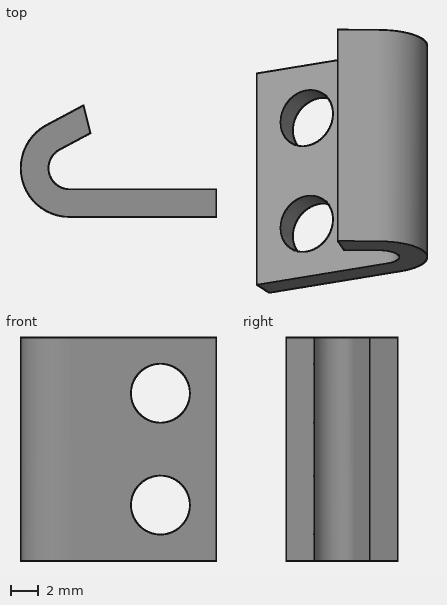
import cadquery as cq
import math

length = 14.0
depth = 8.0
height = 16.0
thickness = 2.0
inner_radius = 1.5
lip_tip_x = 4.5
tip_setback = 0.5

hole_diameter = 4.2
hole_x = 10.0
hole_pitch = 8.0

outer_radius = inner_radius + thickness
bend_center_x = outer_radius
bend_center_y = outer_radius

lip_angle = 2 * math.atan(tip_setback / thickness)
bend_end_angle = math.pi / 2 + lip_angle
bend_start_angle = 3 * math.pi / 2
bend_mid_angle = (bend_start_angle + bend_end_angle) / 2


def bend_point(radius, angle):
    """Point at a polar angle on a circle about the bend center."""
    return (
        bend_center_x + radius * math.cos(angle),
        bend_center_y + radius * math.sin(angle),
    )


def hook_body():
    """J-shaped sheet profile extruded along Z."""
    outer_tip = (lip_tip_x, depth)
    inner_tip = (lip_tip_x + tip_setback, depth - thickness)
    return (
        cq.Workplane("XY")
        .moveTo(length, 0)
        .lineTo(*bend_point(outer_radius, bend_start_angle))
        .threePointArc(
            bend_point(outer_radius, bend_mid_angle),
            bend_point(outer_radius, bend_end_angle),
        )
        .lineTo(*outer_tip)
        .lineTo(*inner_tip)
        .lineTo(*bend_point(inner_radius, bend_end_angle))
        .threePointArc(
            bend_point(inner_radius, bend_mid_angle),
            bend_point(inner_radius, bend_start_angle),
        )
        .lineTo(length, thickness)
        .close()
        .extrude(height)
    )


def plate_holes():
    """Two cylinders through the flat plate along Y, centered in height."""
    hole_heights = (height / 2 - hole_pitch / 2, height / 2 + hole_pitch / 2)
    return (
        cq.Workplane("XZ")
        .pushPoints([(hole_x, z) for z in hole_heights])
        .circle(hole_diameter / 2)
        .extrude(-thickness)
    )


result = hook_body().cut(plate_holes())